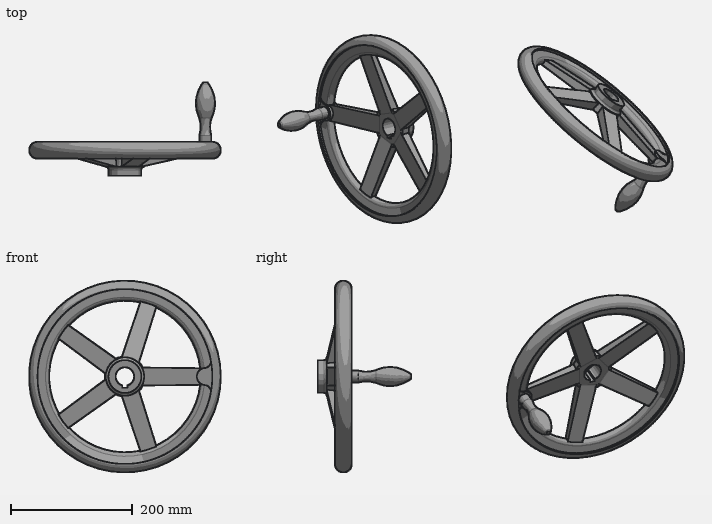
import cadquery as cq
import math


rim_section_radius = 14.0
rim_centre_radius = 143.5
rim_front = 28.0
rim_back = rim_front + 2 * rim_section_radius
rim_inner_radius = 124.0
rim_nose_radius = 7.9
rim_cone_angle = math.radians(10)

rim_middle_y = (rim_front + rim_back) / 2
nose_centre_radius = rim_inner_radius + rim_nose_radius
cone_inner_radius = nose_centre_radius - rim_nose_radius * math.sin(rim_cone_angle)
cone_inner_offset = rim_nose_radius * math.cos(rim_cone_angle)
cone_rise = (rim_centre_radius - cone_inner_radius) * math.tan(rim_cone_angle)
cone_outer_offset = cone_inner_offset + cone_rise
boss_front = rim_middle_y - cone_outer_offset
boss_length = 2 * cone_outer_offset

hub_face_radius = 27.0
hub_collar_length = 10.0
hub_flare_radius = 4.5
hub_back = 30.0
hub_back_radius = 33.0
bore_radius = 15.0
keyway_width = 8.0
keyway_depth = 3.3

spoke_count = 5
spoke_inner_radius = 24.0
spoke_outer_radius = 134.0
spoke_inner_width = 30.0
spoke_outer_width = 27.5
spoke_inner_front = 14.0
spoke_outer_front = 39.0
spoke_inner_back = 30.0
spoke_outer_back = 48.5

handle_radius_from_axis = 132.0
boss_radius = 14.0
boss_fillet_radius = 11.0

collar_radius = 10.0
collar_end = 66.5
neck_radius = 8.0
neck_y = 78.5
grip_start_radius = 10.5
grip_start = 95.0
grip_radius = 16.0
grip_widest_y = 117.0
tip_start_radius = 5.5
tip_start = 151.0
tip_end_radius = 3.5
handle_end = 153.5


def revolve_about_y(profile):
    """Turn a closed (radius, y) profile around the wheel axis."""
    return profile.close().revolve(360, (0, 0, 0), (0, 1, 0))


def make_rim():
    profile = (
        cq.Workplane("XY")
        .moveTo(rim_centre_radius, rim_back)
        .threePointArc(
            (rim_centre_radius + rim_section_radius, rim_middle_y),
            (rim_centre_radius, rim_front),
        )
        .lineTo(rim_centre_radius, rim_middle_y - cone_outer_offset)
        .lineTo(cone_inner_radius, rim_middle_y - cone_inner_offset)
        .threePointArc(
            (rim_inner_radius, rim_middle_y),
            (cone_inner_radius, rim_middle_y + cone_inner_offset),
        )
        .lineTo(rim_centre_radius, rim_middle_y + cone_outer_offset)
    )
    return revolve_about_y(profile)


def make_hub():
    flare_end_radius = hub_face_radius + hub_flare_radius
    flare_end_y = hub_collar_length + hub_flare_radius
    flare_offset = hub_flare_radius * math.sqrt(0.5)
    profile = (
        cq.Workplane("XY")
        .lineTo(hub_face_radius, 0)
        .lineTo(hub_face_radius, hub_collar_length)
        .threePointArc(
            (flare_end_radius - flare_offset, hub_collar_length + flare_offset),
            (flare_end_radius, flare_end_y),
        )
        .lineTo(hub_back_radius, hub_back)
        .lineTo(0, hub_back)
    )
    return revolve_about_y(profile)


def make_spoke():
    """Spoke along +X, tapering in width and leaning back towards the rim."""
    side_profile = (
        cq.Workplane("XY")
        .moveTo(spoke_inner_radius, spoke_inner_front)
        .lineTo(spoke_outer_radius, spoke_outer_front)
        .lineTo(spoke_outer_radius, spoke_outer_back)
        .lineTo(spoke_inner_radius, spoke_inner_back)
        .close()
        .extrude(spoke_inner_width, both=True)
    )
    face_outline = (
        cq.Workplane("XZ")
        .moveTo(spoke_inner_radius, spoke_inner_width / 2)
        .lineTo(spoke_outer_radius, spoke_outer_width / 2)
        .lineTo(spoke_outer_radius, -spoke_outer_width / 2)
        .lineTo(spoke_inner_radius, -spoke_inner_width / 2)
        .close()
        .extrude(-rim_back)
    )
    return side_profile.intersect(face_outline)


def make_boss():
    fillet_z = boss_radius + boss_fillet_radius
    fillet_path_radius = rim_centre_radius - boss_fillet_radius
    fillet_x = math.sqrt(fillet_path_radius**2 - fillet_z**2)
    touch_scale = rim_centre_radius / fillet_path_radius
    touch_x = fillet_x * touch_scale
    touch_z = fillet_z * touch_scale
    middle_angle = (math.atan2(fillet_z, fillet_x) - math.pi / 2) / 2
    middle_x = fillet_x + boss_fillet_radius * math.cos(middle_angle)
    middle_z = fillet_z + boss_fillet_radius * math.sin(middle_angle)
    return (
        cq.Workplane("XZ", origin=(0, boss_front, 0))
        .moveTo(fillet_x, boss_radius)
        .threePointArc((middle_x, middle_z), (touch_x, touch_z))
        .threePointArc((rim_centre_radius, 0), (touch_x, -touch_z))
        .threePointArc((middle_x, -middle_z), (fillet_x, -boss_radius))
        .lineTo(handle_radius_from_axis, -boss_radius)
        .threePointArc(
            (handle_radius_from_axis - boss_radius, 0),
            (handle_radius_from_axis, boss_radius),
        )
        .close()
        .extrude(-boss_length)
    )


def make_handle():
    profile = (
        cq.Workplane("XY")
        .moveTo(0, rim_middle_y)
        .lineTo(collar_radius, rim_middle_y)
        .lineTo(collar_radius, collar_end)
        .threePointArc((neck_radius, neck_y), (grip_start_radius, grip_start))
        .spline(
            [(grip_radius, grip_widest_y), (tip_start_radius, tip_start)],
            includeCurrent=True,
        )
        .lineTo(tip_end_radius, handle_end)
        .lineTo(0, handle_end)
    )
    return revolve_about_y(profile).translate((handle_radius_from_axis, 0, 0))


def make_keyed_bore():
    bore = cq.Workplane("XZ").circle(bore_radius).extrude(-hub_back)
    keyway_reach = bore_radius + keyway_depth
    keyway = (
        cq.Workplane("XZ")
        .center(0, -keyway_reach / 2)
        .rect(keyway_width, keyway_reach)
        .extrude(-hub_back)
    )
    return bore.union(keyway)


wheel = make_rim().union(make_hub())
for index in range(spoke_count):
    spoke_angle = index * 360 / spoke_count
    wheel = wheel.union(make_spoke().rotate((0, 0, 0), (0, 1, 0), spoke_angle))

result = wheel.union(make_boss()).union(make_handle()).cut(make_keyed_bore())